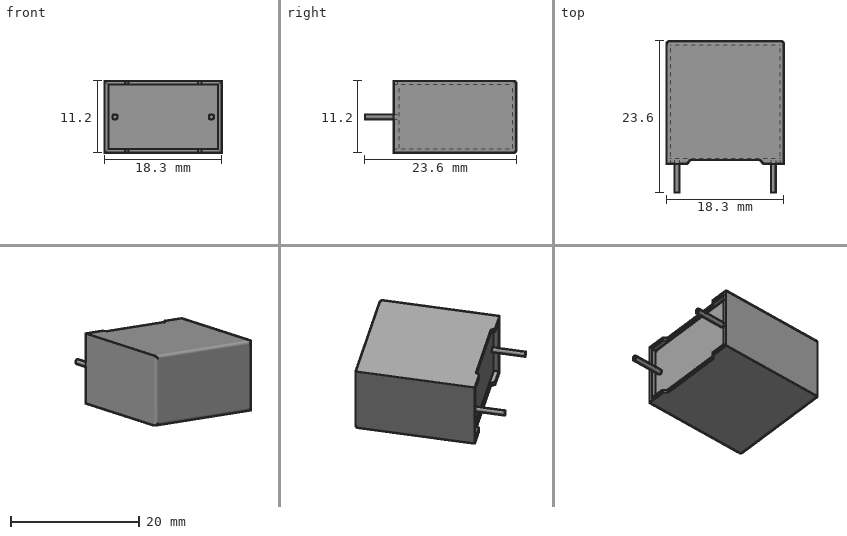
import cadquery as cq

case_width = 18.3
case_height = 11.2
case_length = 19.12
wall = 0.6
back_fillet = 0.5

notch_margin = 3.2
notch_depth = 0.6
notch_slope_run = 0.5

fill_recess = 0.8
lead_pitch = 15.0
lead_diameter = 0.8
lead_projection = 4.48

rim_y = -case_length / 2
fill_y = rim_y + fill_recess
back_y = case_length / 2
cavity_back_y = back_y - wall


def box_between(width, height, start_y, end_y):
    """Box centred on X and Z that spans the given Y range."""
    length = end_y - start_y
    return cq.Workplane("XY").box(width, length, height).translate((0, (start_y + end_y) / 2, 0))


def make_filling():
    return box_between(case_width - 2 * wall, case_height - 2 * wall, fill_y, cavity_back_y)


def make_notch_cutter():
    """Trapezoid through the full height, cutting both wide walls at once."""
    outer_half = case_width / 2 - notch_margin
    inner_half = outer_half - notch_slope_run
    outline = [
        (-outer_half, rim_y),
        (-inner_half, rim_y + notch_depth),
        (inner_half, rim_y + notch_depth),
        (outer_half, rim_y),
    ]
    return cq.Workplane("XY").polyline(outline).close().extrude(case_height / 2, both=True)


def make_case():
    shell = box_between(case_width, case_height, rim_y, back_y)
    shell = shell.faces(">Y").edges().fillet(back_fillet)
    cavity = box_between(case_width - 2 * wall, case_height - 2 * wall, rim_y, cavity_back_y)
    return shell.cut(cavity).cut(make_notch_cutter())


def make_lead(x):
    """Round wire standing on the face of the filling and pointing toward -Y."""
    length = fill_recess + lead_projection
    return cq.Workplane("XZ", origin=(x, fill_y, 0)).circle(lead_diameter / 2).extrude(length)


case = make_case()
filling = make_filling()
leads = [make_lead(side * lead_pitch / 2) for side in (-1, 1)]

result = cq.Compound.makeCompound([case.val(), filling.val(), *[lead.val() for lead in leads]])